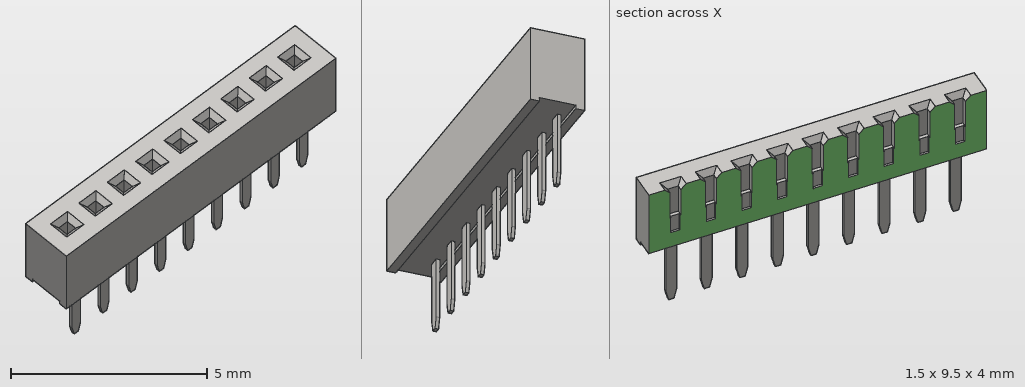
import cadquery as cq

CONTACT_COUNT = 9
PITCH = 1.0

HOUSING_WIDTH = 1.5
HOUSING_END_MARGIN = 0.75
HOUSING_LENGTH = (CONTACT_COUNT - 1) * PITCH + 2 * HOUSING_END_MARGIN
HOUSING_TOP = 4.0
HOUSING_HEIGHT = 2.1
RAIL_HEIGHT = 0.1
RAIL_WIDTH = 0.25
HOUSING_BOTTOM = HOUSING_TOP - HOUSING_HEIGHT
CHANNEL_CEILING = HOUSING_BOTTOM + RAIL_HEIGHT
CHANNEL_WIDTH = HOUSING_WIDTH - 2 * RAIL_WIDTH

FUNNEL_SIZE = 0.6
BORE_SIZE = 0.3
FUNNEL_DEPTH = (FUNNEL_SIZE - BORE_SIZE) / 2
BORE_FLOOR_DEPTH = 1.0
SLOT_WIDTH = 0.1
SLOT_LENGTH = 0.25
SLOT_FLOOR_DEPTH = 1.5

PIN_WIDTH = 0.3
PIN_THICKNESS = 0.1
PIN_CENTER_X = 0.29
PIN_TIP_WIDTH = 0.15
PIN_TIP_LENGTH = 0.3
PIN_ROOT = 0.2


def make_housing():
    """Block with a shallow channel along its whole underside."""
    block = (
        cq.Workplane("XY", origin=(0, 0, HOUSING_BOTTOM))
        .rect(HOUSING_WIDTH, HOUSING_LENGTH)
        .extrude(HOUSING_HEIGHT)
    )
    channel = (
        cq.Workplane("XY", origin=(0, 0, HOUSING_BOTTOM))
        .rect(CHANNEL_WIDTH, HOUSING_LENGTH)
        .extrude(RAIL_HEIGHT)
    )
    return block.cut(channel)


def make_socket(y):
    """Solid to remove from the housing for the socket centred at y."""
    top = cq.Workplane("XY", origin=(0, y, HOUSING_TOP))
    funnel = (
        top.rect(FUNNEL_SIZE, FUNNEL_SIZE)
        .workplane(offset=-FUNNEL_DEPTH)
        .rect(BORE_SIZE, BORE_SIZE)
        .loft(ruled=True)
    )
    bore = top.rect(BORE_SIZE, BORE_SIZE).extrude(-BORE_FLOOR_DEPTH)
    slot = top.rect(SLOT_WIDTH, SLOT_LENGTH).extrude(-SLOT_FLOOR_DEPTH)
    return funnel.union(bore).union(slot)


def make_pin(y):
    """Flat pin centred at y, rooted in the housing and ending at Z = 0."""
    half_width = PIN_WIDTH / 2
    half_tip = PIN_TIP_WIDTH / 2
    pin_top = CHANNEL_CEILING + PIN_ROOT
    outline = [
        (-half_width, pin_top),
        (half_width, pin_top),
        (half_width, PIN_TIP_LENGTH),
        (half_tip, 0),
        (-half_tip, 0),
        (-half_width, PIN_TIP_LENGTH),
    ]
    return (
        cq.Workplane("YZ", origin=(PIN_CENTER_X, y, 0))
        .polyline(outline)
        .close()
        .extrude(PIN_THICKNESS / 2, both=True)
    )


result = make_housing()
for index in range(CONTACT_COUNT):
    contact_y = (index - (CONTACT_COUNT - 1) / 2) * PITCH
    result = result.cut(make_socket(contact_y)).union(make_pin(contact_y))